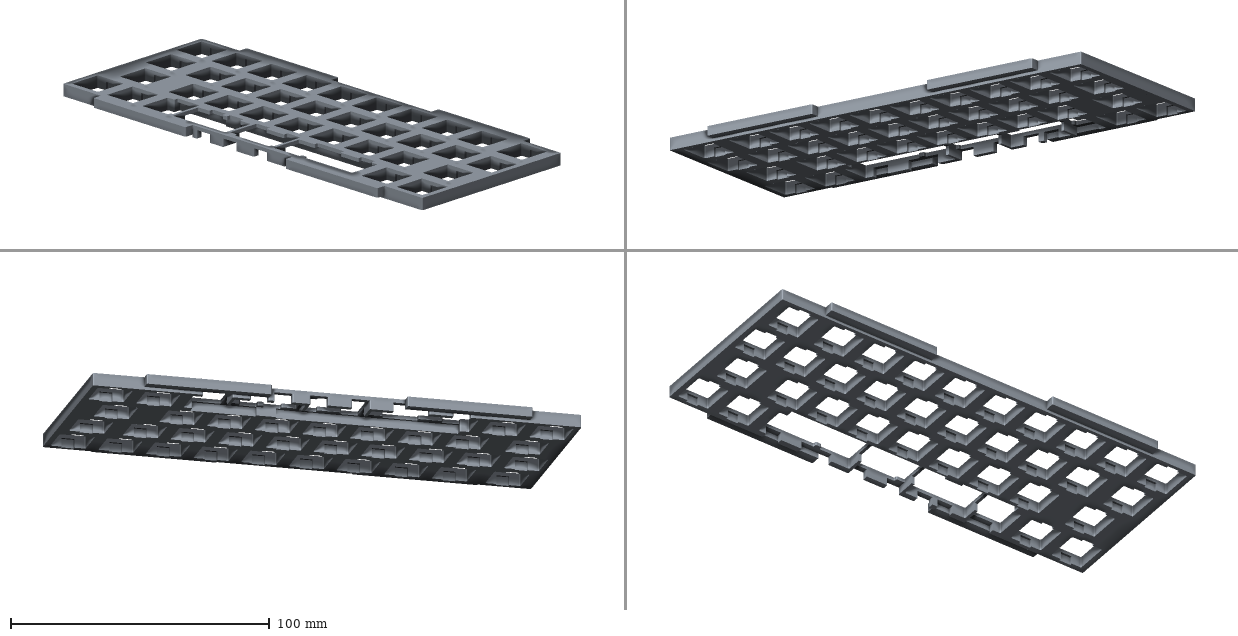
import cadquery as cq
length = 195.3
overall_depth = 84.2
thickness = 5.0
grid_steps = 82
steps_per_key = 8
rows = 4
step = length / grid_steps
pitch = step * steps_per_key
plate_depth = rows * pitch
outer_radius = 0.49

tab_length = 50.0
tab_start = 20.5
tab_height = 4.0
tab_center = length / 2 - tab_start - tab_length / 2

hole = 14.0
hole_radius = 0.49
lip = 1.5
clip_width = 5.0
clip_depth = 1.0

stab_width = 7.0
stab_front = -34.2
stab_rear = -19.5
stab_offset = 12.0
space_stab_offset = 50.0

channel_front = -29.0
recess_rear = -18.4
right_recess_start = -19.5

top = thickness / 2
bottom = -top
lip_bottom = top - lip


def key_x(steps):
    return steps * step - length / 2


def row_y(row):
    return ((rows - 1) / 2 - row) * pitch


row_keys = [
    [4 + steps_per_key * i for i in range(9)] + [77],
    [5] + [14 + steps_per_key * i for i in range(9)],
    [7] + [18 + steps_per_key * i for i in range(7)] + [76],
    [4, 12, 70, 78],
]
key_points = [(key_x(key), row_y(row)) for row, keys in enumerate(row_keys) for key in keys]

bottom_y = row_y(rows - 1)
joined_keys = [(20, 20), (27, 33), (41, 43), (50, 50), (57, 62)]

stab_spans = [
    (-space_stab_offset, key_x(27) - stab_offset),
    (key_x(33) - stab_offset, key_x(33) - stab_offset),
    (key_x(27) + stab_offset, key_x(27) + stab_offset),
    (key_x(33) + stab_offset, key_x(33) + stab_offset),
    (key_x(50) - stab_offset, key_x(50) - stab_offset),
    (key_x(57) - stab_offset, key_x(50) + stab_offset),
    (space_stab_offset, space_stab_offset),
]

channel_start = stab_spans[0][0] - stab_width / 2
channel_end = stab_spans[-1][1] + stab_width / 2
rear_recesses = [
    (channel_start, stab_spans[1][1] + stab_width / 2),
    (right_recess_start, channel_end),
]


def x_range_box(x_min, x_max, y_min, y_max, z_min, z_max):
    corner = (x_min, y_min, z_min)
    size = (x_max - x_min, y_max - y_min, z_max - z_min)
    return cq.Workplane("XY", origin=corner).box(*size, centered=False)


def span_box(first_x, last_x, width, y_min, y_max, z_min, z_max):
    """Box covering openings of the given width, from the first centre to the last along X."""
    return x_range_box(first_x - width / 2, last_x + width / 2, y_min, y_max, z_min, z_max)


def stabilizer_relief():
    """Wire channel and slots through the front wall, all below the lip and open underneath."""
    relief = x_range_box(channel_start, channel_end, channel_front, stab_rear, bottom, lip_bottom)
    for start_x, end_x in rear_recesses:
        relief = relief.union(
            x_range_box(start_x, end_x, stab_rear, recess_rear, bottom, lip_bottom)
        )
    for first_x, last_x in stab_spans:
        relief = relief.union(
            span_box(first_x, last_x, stab_width, -plate_depth / 2, stab_rear, bottom, lip_bottom)
        )
    return relief


def blank():
    plate = cq.Workplane("XY").box(length, plate_depth, thickness).cut(stabilizer_relief())
    for side in ("<Y", ">Y"):
        plate = plate.faces(side).edges("|Z").fillet(outer_radius)
    tabs = (
        cq.Workplane("XY", origin=(0, 0, top - tab_height))
        .pushPoints([(-tab_center, 0), (tab_center, 0)])
        .rect(tab_length, overall_depth)
        .extrude(tab_height)
        .edges("|Z")
        .fillet(outer_radius)
    )
    plate_envelope = cq.Workplane("XY").box(length, plate_depth, thickness)
    return plate.union(tabs.cut(plate_envelope))


def switch_holes():
    base = cq.Workplane("XY", origin=(0, 0, bottom)).pushPoints(key_points)
    return base.rect(hole, hole).extrude(thickness).edges("|Z").fillet(hole_radius)


def clip_recesses():
    base = cq.Workplane("XY", origin=(0, 0, bottom)).pushPoints(key_points)
    return base.rect(clip_width, hole + 2 * clip_depth).extrude(thickness - lip)


def joined_openings():
    openings = cq.Workplane("XY")
    for first, last in joined_keys:
        y_min = bottom_y - hole / 2
        openings = openings.union(
            span_box(key_x(first), key_x(last), hole, y_min, y_min + hole, bottom, top)
        )
    for first_x, last_x in stab_spans:
        openings = openings.union(
            span_box(first_x, last_x, stab_width, stab_front, stab_rear, bottom, top)
        )
    return openings.edges("|Z").fillet(hole_radius)


result = blank()
for cutter in (switch_holes(), clip_recesses(), joined_openings()):
    result = result.cut(cutter)